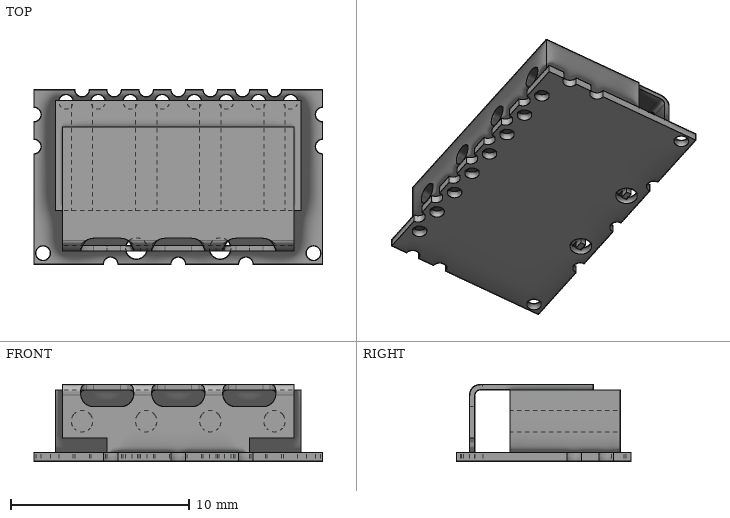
import cadquery as cq
import math

BOARD_LENGTH = 16.2
BOARD_WIDTH = 9.8
BOARD_THICKNESS = 0.5
SMALL_HOLE_DIAMETER = 0.81
HOLE_PITCH = 1.8
BACK_NOTCH_COUNT = 7
BACK_HOLE_COUNT = BACK_NOTCH_COUNT + 1
BACK_HOLE_Y = 4.21
SIDE_NOTCH_REAR_Y = 3.5
SIDE_NOTCH_COUNT = 2
FRONT_NOTCH_PITCH = 3.79
FRONT_NOTCH_COUNT = 3
CORNER_HOLE_X = 7.58
CORNER_HOLE_Y = -4.28
PIN_HOLE_DIAMETER = 1.2
PIN_X = 2.35

BLOCK_LENGTH = 13.77
BLOCK_HEIGHT = 3.5
BLOCK_BACK_Y = 4.3
BLOCK_FRONT_Y = -1.9
BORE_DIAMETER = 1.2
BORE_PITCH = 2 * HOLE_PITCH
BORE_COUNT = 4

COVER_LENGTH = 13.0
COVER_THICKNESS = 0.3
COVER_BACK_Y = 2.79
COVER_FRONT_Y = -4.16
BEND_OUTER_RADIUS = 0.6
FOOT_LENGTH = 8.0
FOOT_HEIGHT = 0.8
PIN_WIDTH = 0.49

WINDOW_LENGTH = 2.98
WINDOW_WIDTH = 1.47
WINDOW_PITCH = 3.99
WINDOW_COUNT = 3
WINDOW_BOTTOM_Z = 3.06
BEND_SECTION_COUNT = 9
CUT_MARGIN = 0.16

block_top = BOARD_THICKNESS + BLOCK_HEIGHT
cover_top = block_top + COVER_THICKNESS
bend_y = COVER_FRONT_Y + BEND_OUTER_RADIUS
bend_z = cover_top - BEND_OUTER_RADIUS
wall_y = COVER_FRONT_Y + COVER_THICKNESS / 2
pin_centres = [(-PIN_X, wall_y), (PIN_X, wall_y)]
bend_inner_radius = BEND_OUTER_RADIUS - COVER_THICKNESS


def centred_row(count, pitch):
    """Positions of evenly spaced features, centred on zero."""
    return [(index - (count - 1) / 2) * pitch for index in range(count)]


def make_board():
    """Plate with half-round notches on its edges, small round holes and a larger hole for each pin."""
    back_y = BOARD_WIDTH / 2
    side_x = BOARD_LENGTH / 2
    small_holes = [(x, back_y) for x in centred_row(BACK_NOTCH_COUNT, HOLE_PITCH)]
    small_holes += [(x, BACK_HOLE_Y) for x in centred_row(BACK_HOLE_COUNT, HOLE_PITCH)]
    small_holes += [(x, -back_y) for x in centred_row(FRONT_NOTCH_COUNT, FRONT_NOTCH_PITCH)]
    for side in (-1, 1):
        small_holes.append((side * CORNER_HOLE_X, CORNER_HOLE_Y))
        for index in range(SIDE_NOTCH_COUNT):
            small_holes.append((side * side_x, SIDE_NOTCH_REAR_Y - index * HOLE_PITCH))

    plate = cq.Workplane("XY").rect(BOARD_LENGTH, BOARD_WIDTH).extrude(BOARD_THICKNESS)
    small_cutters = (
        cq.Workplane("XY").pushPoints(small_holes).circle(SMALL_HOLE_DIAMETER / 2).extrude(BOARD_THICKNESS)
    )
    pin_holes = (
        cq.Workplane("XY").pushPoints(pin_centres).circle(PIN_HOLE_DIAMETER / 2).extrude(BOARD_THICKNESS)
    )
    return plate.cut(small_cutters).cut(pin_holes)


def make_block():
    """Rectangular block with a row of bores at half its height."""
    depth = BLOCK_BACK_Y - BLOCK_FRONT_Y
    bore_z = BOARD_THICKNESS + BLOCK_HEIGHT / 2
    bore_centres = [(x, bore_z) for x in centred_row(BORE_COUNT, BORE_PITCH)]
    body = cq.Workplane("XY").box(BLOCK_LENGTH, depth, BLOCK_HEIGHT, centered=(True, False, False))
    body = body.translate((0, BLOCK_FRONT_Y, BOARD_THICKNESS))
    bores = (
        cq.Workplane("XZ", origin=(0, BLOCK_BACK_Y, 0))
        .pushPoints(bore_centres)
        .circle(BORE_DIAMETER / 2)
        .extrude(depth)
    )
    return body.cut(bores)


def make_bent_sheet():
    """Sheet with a horizontal top, a quarter-round bend and a vertical front wall."""
    diagonal = math.sqrt(0.5)
    inner_y = COVER_FRONT_Y + COVER_THICKNESS
    outer_middle = (bend_y - BEND_OUTER_RADIUS * diagonal, bend_z + BEND_OUTER_RADIUS * diagonal)
    inner_middle = (bend_y - bend_inner_radius * diagonal, bend_z + bend_inner_radius * diagonal)
    return (
        cq.Workplane("YZ")
        .moveTo(COVER_BACK_Y, block_top)
        .lineTo(COVER_BACK_Y, cover_top)
        .lineTo(bend_y, cover_top)
        .threePointArc(outer_middle, (COVER_FRONT_Y, bend_z))
        .lineTo(COVER_FRONT_Y, BOARD_THICKNESS)
        .lineTo(inner_y, BOARD_THICKNESS)
        .lineTo(inner_y, bend_z)
        .threePointArc(inner_middle, (bend_y, block_top))
        .close()
        .extrude(COVER_LENGTH / 2, both=True)
    )


def make_foot_reliefs():
    """Cutters for the lower corners of the front wall, which leave the foot between them."""
    relief_length = (COVER_LENGTH - FOOT_LENGTH) / 2
    relief_x = (COVER_LENGTH + FOOT_LENGTH) / 4
    return (
        cq.Workplane("XY", origin=(0, wall_y, BOARD_THICKNESS))
        .pushPoints([(-relief_x, 0), (relief_x, 0)])
        .rect(relief_length, 2 * COVER_THICKNESS)
        .extrude(FOOT_HEIGHT)
    )


def make_pins():
    """Flat pins that continue the foot through the board to the underside of the board."""
    return (
        cq.Workplane("XY")
        .pushPoints(pin_centres)
        .rect(PIN_WIDTH, COVER_THICKNESS)
        .extrude(BOARD_THICKNESS)
    )


def make_window_cutter(centre_x):
    """Obround cutter that follows the sheet up the wall, round the bend and onto the top."""
    end_radius = WINDOW_WIDTH / 2
    straight_half = WINDOW_LENGTH / 2 - end_radius
    wall_reach = bend_z - WINDOW_BOTTOM_Z
    middle_radius = (BEND_OUTER_RADIUS + bend_inner_radius) / 2
    top_reach = WINDOW_WIDTH - wall_reach - middle_radius * math.pi / 2
    near_radius = bend_inner_radius - CUT_MARGIN
    far_radius = BEND_OUTER_RADIUS + CUT_MARGIN
    cut_depth = far_radius - near_radius

    wall_part = (
        cq.Workplane("XZ", origin=(centre_x, bend_y - near_radius, WINDOW_BOTTOM_Z + end_radius))
        .slot2D(WINDOW_LENGTH, WINDOW_WIDTH)
        .extrude(cut_depth)
    )
    wall_limit = (
        cq.Workplane("XY", origin=(centre_x, bend_y, WINDOW_BOTTOM_Z))
        .rect(WINDOW_LENGTH, 2 * far_radius)
        .extrude(wall_reach)
    )

    top_part = (
        cq.Workplane("XY", origin=(centre_x, bend_y + top_reach - end_radius, bend_z + near_radius))
        .slot2D(WINDOW_LENGTH, WINDOW_WIDTH)
        .extrude(cut_depth)
    )
    top_limit = (
        cq.Workplane("XZ", origin=(centre_x, bend_y + top_reach, bend_z))
        .rect(WINDOW_LENGTH, 2 * far_radius)
        .extrude(top_reach)
    )

    sections = []
    for index in range(BEND_SECTION_COUNT):
        angle = math.pi / 2 * index / (BEND_SECTION_COUNT - 1)
        from_middle = wall_reach + middle_radius * angle - end_radius
        half_length = straight_half + math.sqrt(end_radius**2 - from_middle**2)
        corners = [
            cq.Vector(
                centre_x + side * half_length,
                bend_y - radius * math.cos(angle),
                bend_z + radius * math.sin(angle),
            )
            for side, radius in ((-1, near_radius), (1, near_radius), (1, far_radius), (-1, far_radius))
        ]
        sections.append(cq.Wire.makePolygon(corners, close=True))
    bend_part = cq.Workplane(obj=cq.Solid.makeLoft(sections))

    return [wall_part.intersect(wall_limit), bend_part, top_part.intersect(top_limit)]


def make_cover():
    """Bent sheet with a narrowed foot, two pins and a row of windows over the bend."""
    cover = make_bent_sheet().cut(make_foot_reliefs()).union(make_pins())
    for centre_x in centred_row(WINDOW_COUNT, WINDOW_PITCH):
        for cutter in make_window_cutter(centre_x):
            cover = cover.cut(cutter)
    return cover


board = make_board()
block = make_block()
cover = make_cover()

result = cq.Compound.makeCompound([board.val(), block.val(), cover.val()])